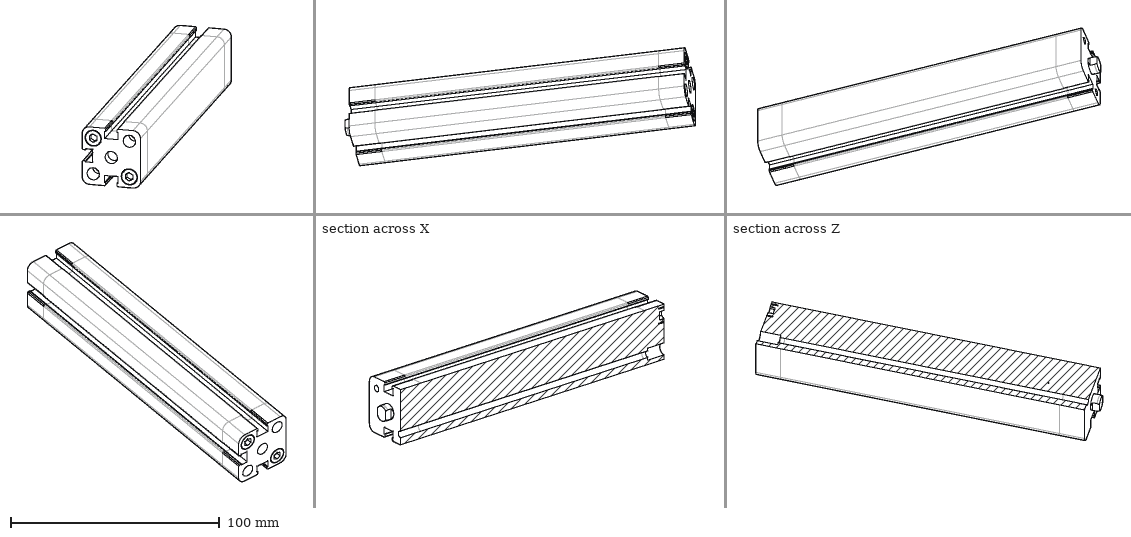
import cadquery as cq

total_length = 167.5
body_width = 29.0
rod_reach = 4.2
body_length = total_length - rod_reach
front_y = -total_length / 2
rear_y = front_y + body_length
corner_radius = 3.7

front_cap_length = 12.4
rear_cap_length = 12.5
tube_length = body_length - front_cap_length - rear_cap_length
tube_y = front_y + front_cap_length
rear_cap_y = tube_y + tube_length

slot_mouth_width = 5.5
slot_inner_width = 6.5
slot_lip = 1.7
slot_depth = 5.2
slot_edge_break = 0.5
slot_turns = (0, 180, -90)

fixing_edge_distance = 5.5
fixing_offset = body_width / 2 - fixing_edge_distance
bore_diameter = 3.2
mounting_hole_diameter = 6.0
mounting_hole_depth = 10.0
screw_recess_diameter = 8.0
screw_head_diameter = 7.5
screw_recess_depth = 3.4
socket_across_corners = 4.2
socket_depth = 2.5

center_hole_diameter = 6.0
center_hole_depth = 5.0

rod_diameter = 8.0
rod_flats_width = 6.0
flats_runout = 0.8
rod_chamfer_length = 1.2
rod_chamfer_height = 0.25


def along_y(start_y):
    """Sketch plane at start_y that extrudes toward +Y; its local x is -X and its local y is Z."""
    return cq.Workplane(cq.Plane(origin=(0, start_y, 0), xDir=(-1, 0, 0), normal=(0, 1, 0)))


def cylinder(x, z, start_y, diameter, length):
    return along_y(start_y).center(-x, z).circle(diameter / 2).extrude(length)


def rounded_bar(start_y, length):
    bar = along_y(start_y).rect(body_width, body_width).extrude(length)
    return bar.edges("|Y").fillet(corner_radius)


def slotted_section(start_y, length, rounded_edges):
    """Rounded square bar with three slots whose mouth edges are rounded or chamfered."""
    half_width = body_width / 2
    inner_height = slot_depth - slot_lip
    inner_middle = half_width - slot_lip - inner_height / 2
    inner = along_y(start_y).center(0, inner_middle).rect(slot_inner_width, inner_height).extrude(length)
    mouth = along_y(start_y).center(0, half_width).rect(slot_mouth_width, 2 * slot_lip).extrude(length)
    bar = rounded_bar(start_y, length)
    for turn in slot_turns:
        for cutter in (mouth, inner):
            bar = bar.cut(cutter.rotate((0, 0, 0), (0, 1, 0), turn))

    middle_y = start_y + length / 2
    half_mouth = slot_mouth_width / 2
    mouth_points = []
    for side in (-half_mouth, half_mouth):
        mouth_points += [
            (side, middle_y, half_width),
            (side, middle_y, -half_width),
            (-half_width, middle_y, side),
        ]
    for point in mouth_points:
        edge = bar.edges(cq.selectors.NearestToPointSelector(point))
        bar = edge.fillet(slot_edge_break) if rounded_edges else edge.chamfer(slot_edge_break)

    for side in (-fixing_offset, fixing_offset):
        bar = bar.cut(cylinder(side, side, start_y, bore_diameter, length))
    return bar


def front_cap():
    cap = slotted_section(front_y, front_cap_length, rounded_edges=False)
    for side in (-fixing_offset, fixing_offset):
        cap = cap.cut(cylinder(side, side, front_y, mounting_hole_diameter, mounting_hole_depth))
        recess = cylinder(side, -side, front_y, screw_recess_diameter, screw_recess_depth)
        head = cylinder(side, -side, front_y, screw_head_diameter, screw_recess_depth)
        hexagon = along_y(front_y).transformed(offset=(-side, -side, 0), rotate=(0, 0, 90))
        socket = hexagon.polygon(6, socket_across_corners).extrude(socket_depth)
        cap = cap.cut(recess.cut(head)).cut(socket)
    return cap.cut(cylinder(0, 0, front_y, center_hole_diameter, center_hole_depth))


def rod_end():
    rod = cylinder(0, 0, rear_y, rod_diameter, rod_reach)
    rod = rod.faces(">Y").chamfer(rod_chamfer_length, rod_chamfer_height)
    radius = rod_diameter / 2
    half_flats = rod_flats_width / 2
    flats_y = rear_y + flats_runout
    tip_y = rear_y + rod_reach
    flats = (
        cq.Workplane("XY")
        .polyline([
            (-radius, rear_y),
            (radius, rear_y),
            (half_flats, flats_y),
            (half_flats, tip_y),
            (-half_flats, tip_y),
            (-half_flats, flats_y),
        ])
        .close()
        .extrude(radius, both=True)
    )
    return rod.intersect(flats)


tube = slotted_section(tube_y, tube_length, rounded_edges=True)
rear_cap = slotted_section(rear_cap_y, rear_cap_length, rounded_edges=False)
result = tube.union(front_cap(), clean=False).union(rear_cap.union(rod_end()), clean=False)